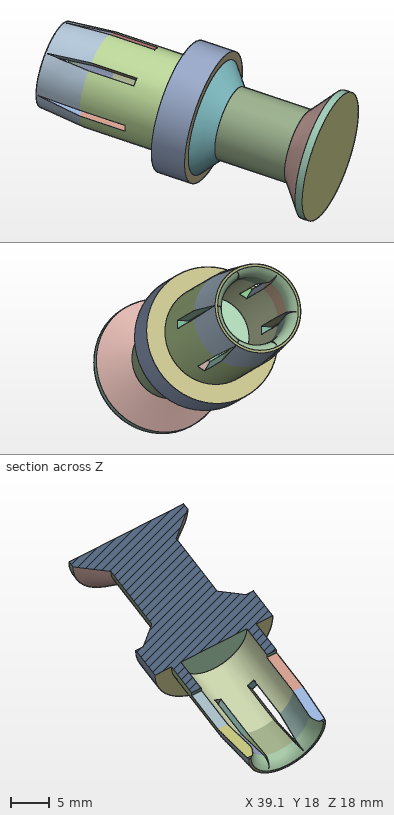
import cadquery as cq
import math

length = 39.1

taper_end = 6.5
slot_end = 12.9
flange_start = 17.8
flange_end = 22.52
shank_start = 25.0
shank_end = 34.88
head_rim_start = 38.1

mouth_radius = 11.73 / 2
sleeve_radius = 13.0 / 2
flange_radius = 18.0 / 2
flange_cone_radius = 15.7 / 2
shank_radius = 10.0 / 2
head_radius = 17.5 / 2

bore_mouth_radius = 11.03 / 2
throat_radius = 9.0 / 2
bore_radius = 10.0 / 2
throat_depth = 1.88
bore_depth = flange_start

slot_count = 6
slot_width = 1.1
slot_tip_width = 0.05
slot_start = 0.3


def revolve_about_x(profile):
    return profile.close().revolve(360, (0, 0, 0), (1, 0, 0))


def turned_body():
    return revolve_about_x(
        cq.Workplane("XY")
        .moveTo(0, 0)
        .lineTo(0, mouth_radius)
        .lineTo(taper_end, sleeve_radius)
        .lineTo(flange_start, sleeve_radius)
        .lineTo(flange_start, flange_radius)
        .lineTo(flange_end, flange_radius)
        .lineTo(flange_end, flange_cone_radius)
        .lineTo(shank_start, shank_radius)
        .lineTo(shank_end, shank_radius)
        .lineTo(head_rim_start, head_radius)
        .lineTo(length, head_radius)
        .lineTo(length, 0)
    )


def socket_bore():
    lead_in_drop = bore_mouth_radius - throat_radius
    lead_in_radius = (throat_depth**2 + lead_in_drop**2) / (2 * lead_in_drop)
    half_sweep = math.asin(throat_depth / lead_in_radius) / 2
    lead_in_middle = (
        throat_depth - lead_in_radius * math.sin(half_sweep),
        throat_radius + lead_in_radius * (1 - math.cos(half_sweep)),
    )
    return revolve_about_x(
        cq.Workplane("XY")
        .moveTo(0, 0)
        .lineTo(0, bore_mouth_radius)
        .threePointArc(lead_in_middle, (throat_depth, throat_radius))
        .lineTo(taper_end, bore_radius)
        .lineTo(bore_depth, bore_radius)
        .lineTo(bore_depth, 0)
    )


def finger_slot(angle):
    """One slot, cut radially outward from the axis and narrowing along the taper."""
    return (
        cq.Workplane("XY")
        .polyline([
            (slot_start, -slot_tip_width / 2),
            (taper_end, -slot_width / 2),
            (slot_end, -slot_width / 2),
            (slot_end, slot_width / 2),
            (taper_end, slot_width / 2),
            (slot_start, slot_tip_width / 2),
        ])
        .close()
        .extrude(flange_radius)
        .rotate((0, 0, 0), (1, 0, 0), angle)
    )


result = turned_body().cut(socket_bore())
for index in range(slot_count):
    result = result.cut(finger_slot(90 + index * 360 / slot_count))